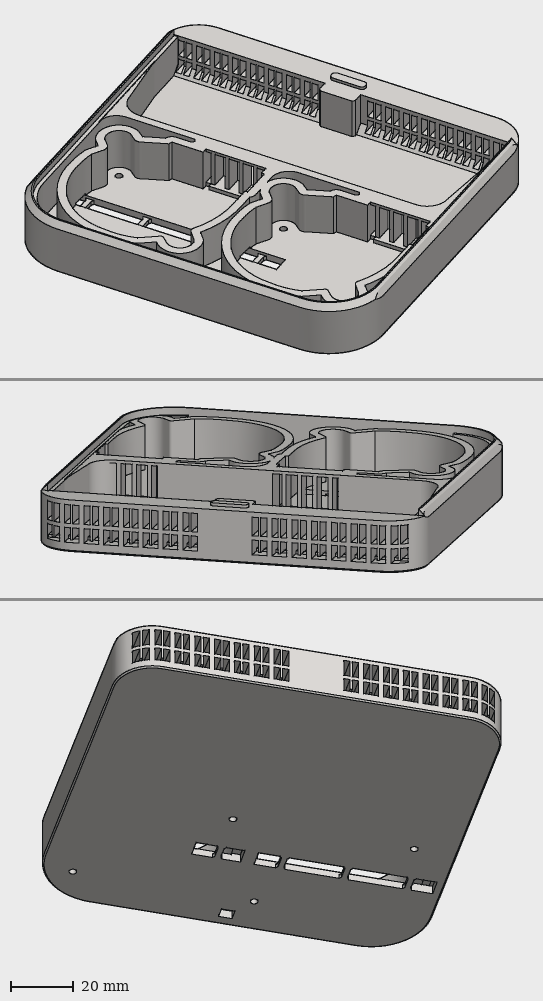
import cadquery as cq
import math

LENGTH = 128.0
DEPTH = 120.0
HEIGHT = 19.2
FRONT_RADIUS = 20.0
BACK_RADIUS = 13.2
BASE_CHAMFER = 0.5

FLOOR_Z = 3.1
DECK_Z = 17.2
GROOVE_Z = 16.8
BAY_FLOOR_Z = 2.5
SILL_Z = 4.0

RIM_WIDTH = 2.5
RIM_SLOPE_WIDTH = 2.0
BEVEL_WIDTH = 1.0
BEVEL_BOTTOM_Z = 16.1
BEVEL_TOP_Z = 18.0

COMPARTMENT_HALF = 60.0
COMPARTMENT_BACK_Y = 50.0
COMPARTMENT_FRONT_Y = 6.4
TAPER_START_Y = 34.5
TAPER_INSET = 2.2
COMPARTMENT_RADIUS = 7.4
RAMP = 2.8

BLOCK_WIDTH = 13.0
BLOCK_FRONT_Y = 45.7
BLOCK_CHAMFER = 0.8
PIN_LENGTH = 12.5
PIN_WIDTH = 3.1
PIN_HEIGHT = 1.0
PIN_Y = 54.0
PIN_CORNER = 1.4

VENT_CELLS = 8
VENT_PITCH = 6.55
VENT_WIDTH = 4.9
VENT_RIB = 0.8
VENT_NEAREST_X = 11.5
VENT_ROWS = [(SILL_Z, 8.0), (9.3, 15.5)]
VENT_RECESS_Y = 55.0

BAY_SCREWS = [(-49.9, -8.0), (10.0, -8.0)]
FAR_SCREW = (43.0, -38.3)
SCREW_DIAMETER = 2.4
LOBE_RADIUS = 4.6
VOLUTE_CENTER = (22.7, -17.9)
VOLUTE_RADIUS = 27.3
VOLUTE_BULGE = 1.0
BAY_WALL = 3.0
OUTLET_LEFT = 27.0
OUTLET_RIGHT = 48.8
OUTLET_TOP = 8.6
RELIEF_RIGHT = 49.8
RELIEF_TOP = 5.6
RELIEF_BOTTOM = -5.4
SHOULDER_TOP = 6.7

GRILLE_BARS = 4
GRILLE_PITCH = 5.1
GRILLE_BAR = 1.4
GRILLE_FIRST_BAR = 29.6
GRILLE_TOP_Z = 16.1
SILL_LEFT = 28.8
SILL_LENGTH = 17.7
SILL_WIDTH = 1.4

HOLLOW_CORNER = 6.4
HOLLOW_SPLIT_Y = -12.2
HOLLOW_END = 21.8
HOLLOW_END_RADIUS = 0.9

SLOT_SPANS = [(-61.2, -2.2), (2.3, 18.4)]
SLOT_BOTTOM = -28.2
SLOT_TOP = -22.3
BRIDGE_XS = [-52.7, -31.9, -10.9, 10.0]
BRIDGE_HEIGHT = 1.5
BRIDGE_WIDTH = 3.1
BRIDGE_WAIST = 1.9
BRIDGE_FLARE = 0.9
WINDOW_X = (-2.2, 2.3)
WINDOW_Y = (-56.3, -52.5)

HALF_X = LENGTH / 2
HALF_Y = DEPTH / 2


def block(x_range, y_range, z_range):
    """Box spanning the three given ranges."""
    size = [high - low for low, high in (x_range, y_range, z_range)]
    corner = (x_range[0], y_range[0], z_range[0])
    return cq.Workplane("XY").box(*size, centered=False).translate(corner)


def on_circle(center, radius, degrees):
    angle = math.radians(degrees)
    return (center[0] + radius * math.cos(angle), center[1] + radius * math.sin(angle))


def make_shell():
    """Rounded block with the sloped rim and the low back deck."""
    shell = cq.Workplane("XY").box(LENGTH, DEPTH, HEIGHT, centered=(True, True, False))
    shell = shell.edges("|Z and <Y").fillet(FRONT_RADIUS)
    shell = shell.edges("|Z and >Y").fillet(BACK_RADIUS)
    shell = shell.faces(">Z").chamfer(HEIGHT - DECK_Z, RIM_SLOPE_WIDTH)
    shell = shell.faces("<Z").chamfer(BASE_CHAMFER)

    back = block((-HALF_X, HALF_X), (COMPARTMENT_BACK_Y, HALF_Y), (DECK_Z, HEIGHT))
    shell = shell.cut(back)

    slope = (BEVEL_TOP_Z - BEVEL_BOTTOM_Z) / BEVEL_WIDTH
    rise = HEIGHT - BEVEL_BOTTOM_Z
    bevel = (
        cq.Workplane("XZ")
        .polyline([(-HALF_X, BEVEL_BOTTOM_Z), (-HALF_X + rise / slope, HEIGHT), (-HALF_X, HEIGHT)])
        .close()
        .extrude(HALF_Y, both=True)
    )
    return shell.cut(bevel).cut(bevel.mirror("YZ"))


def make_compartment():
    """Void of the back compartment, with its ramp and catch block left standing."""
    corner_x = COMPARTMENT_HALF - TAPER_INSET
    flat_half = corner_x - COMPARTMENT_RADIUS
    arc_center_y = COMPARTMENT_FRONT_Y + COMPARTMENT_RADIUS
    right = (flat_half, arc_center_y)
    left = (-flat_half, arc_center_y)
    void = (
        cq.Workplane("XY", origin=(0, 0, FLOOR_Z))
        .moveTo(-COMPARTMENT_HALF, COMPARTMENT_BACK_Y)
        .lineTo(COMPARTMENT_HALF, COMPARTMENT_BACK_Y)
        .lineTo(COMPARTMENT_HALF, TAPER_START_Y)
        .lineTo(corner_x, arc_center_y)
        .threePointArc(on_circle(right, COMPARTMENT_RADIUS, -45), (flat_half, COMPARTMENT_FRONT_Y))
        .lineTo(-flat_half, COMPARTMENT_FRONT_Y)
        .threePointArc(on_circle(left, COMPARTMENT_RADIUS, 225), (-corner_x, arc_center_y))
        .lineTo(-COMPARTMENT_HALF, TAPER_START_Y)
        .close()
        .extrude(HEIGHT - FLOOR_Z)
    )
    ramp = (
        cq.Workplane("YZ")
        .polyline([
            (COMPARTMENT_BACK_Y, FLOOR_Z),
            (COMPARTMENT_BACK_Y - RAMP, FLOOR_Z),
            (COMPARTMENT_BACK_Y, FLOOR_Z + RAMP),
        ])
        .close()
        .extrude(COMPARTMENT_HALF, both=True)
    )
    half_block = BLOCK_WIDTH / 2
    catch = block((-half_block, half_block), (BLOCK_FRONT_Y, COMPARTMENT_BACK_Y), (FLOOR_Z, DECK_Z))
    catch = catch.edges("|Z and <Y").chamfer(BLOCK_CHAMFER)
    return void.cut(ramp).cut(catch)


def make_vents():
    """Voids of the ribbed vent cells through the back wall."""
    slot_width = (VENT_WIDTH - VENT_RIB) / 2
    slot_offset = (slot_width + VENT_RIB) / 2
    vents = cq.Workplane("XY")
    for side in (-1, 1):
        for cell in range(VENT_CELLS):
            x = side * (VENT_NEAREST_X + cell * VENT_PITCH)
            for bottom, top in VENT_ROWS:
                for offset in (-slot_offset, slot_offset):
                    left = x + offset - slot_width / 2
                    slot = block(
                        (left, left + slot_width),
                        (COMPARTMENT_BACK_Y - RAMP, HALF_Y),
                        (bottom, top),
                    )
                    vents = vents.add(slot)
            lip = block(
                (x - VENT_WIDTH / 2, x + VENT_WIDTH / 2),
                (VENT_RECESS_Y, HALF_Y),
                (FLOOR_Z, SILL_Z),
            )
            vents = vents.add(lip)
    inside = block((-COMPARTMENT_HALF, COMPARTMENT_HALF), (0, HALF_Y), (0, HEIGHT))
    return vents.combine().intersect(inside)


def bay_outline():
    """Closed outline of one blower bay about its upper left screw."""
    return (
        cq.Workplane("XY")
        .moveTo(OUTLET_LEFT, OUTLET_TOP)
        .lineTo(OUTLET_RIGHT, OUTLET_TOP)
        .lineTo(OUTLET_RIGHT, RELIEF_TOP)
        .lineTo(RELIEF_RIGHT, RELIEF_TOP)
        .lineTo(RELIEF_RIGHT, RELIEF_BOTTOM)
        .lineTo(OUTLET_RIGHT, RELIEF_BOTTOM)
        .lineTo(OUTLET_RIGHT, -12.8)
        .threePointArc((47.2, -23.7), (43.9, -31.0))
        .threePointArc((43.6, -31.9), (43.9, -32.6))
        .lineTo(*on_circle(FAR_SCREW, LOBE_RADIUS, 22))
        .threePointArc(on_circle(FAR_SCREW, LOBE_RADIUS, -56), on_circle(FAR_SCREW, LOBE_RADIUS, 226))
        .lineTo(37.9, -39.8)
        .threePointArc((37.4, -39.5), (36.5, -39.8))
        .lineTo(*on_circle(VOLUTE_CENTER, VOLUTE_RADIUS, -73))
        .threePointArc(
            on_circle(VOLUTE_CENTER, VOLUTE_RADIUS, 275),
            on_circle(VOLUTE_CENTER, VOLUTE_RADIUS, 263),
        )
        .threePointArc(
            on_circle(VOLUTE_CENTER, VOLUTE_RADIUS + VOLUTE_BULGE, 227),
            on_circle(VOLUTE_CENTER, VOLUTE_RADIUS, 180),
        )
        .threePointArc(
            on_circle(VOLUTE_CENTER, VOLUTE_RADIUS, 173),
            on_circle(VOLUTE_CENTER, VOLUTE_RADIUS, 166),
        )
        .lineTo(-1.4, -7.4)
        .threePointArc((-1.2, -6.3), (-1.4, -5.0))
        .lineTo(*on_circle((0, 0), LOBE_RADIUS, 205))
        .threePointArc(on_circle((0, 0), LOBE_RADIUS, 135), on_circle((0, 0), LOBE_RADIUS, 65))
        .lineTo(4.7, 1.9)
        .threePointArc((5.9, 1.7), (7.2, 2.0))
        .lineTo(15.2, 5.4)
        .lineTo(15.6, SHOULDER_TOP)
        .lineTo(OUTLET_LEFT, SHOULDER_TOP)
        .close()
    )


def make_bay(screw):
    """Void of one bay with its outlet grille, sill and screw holes."""
    bay = bay_outline().extrude(HEIGHT).translate((0, 0, BAY_FLOOR_Z))
    grille_back = COMPARTMENT_FRONT_Y - screw[1]
    grille = block((OUTLET_LEFT, OUTLET_RIGHT), (OUTLET_TOP, grille_back), (SILL_Z, GRILLE_TOP_Z))
    for index in range(GRILLE_BARS):
        x = GRILLE_FIRST_BAR + index * GRILLE_PITCH
        bar = block((x - GRILLE_BAR / 2, x + GRILLE_BAR / 2), (OUTLET_TOP, grille_back), (0, HEIGHT))
        grille = grille.cut(bar)
    sill = block(
        (SILL_LEFT, SILL_LEFT + SILL_LENGTH),
        (OUTLET_TOP - SILL_WIDTH, OUTLET_TOP),
        (BAY_FLOOR_Z, SILL_Z),
    )
    holes = (
        cq.Workplane("XY").pushPoints([(0, 0), FAR_SCREW]).circle(SCREW_DIAMETER / 2).extrude(HEIGHT)
    )
    return bay.cut(sill).union(grille).union(holes).translate((screw[0], screw[1], 0))


def make_interior(bottom):
    """Space inside the walls from the given height up: thinner at the straight front wall."""
    z_range = (bottom, HEIGHT)
    side_wall = HALF_X - COMPARTMENT_HALF
    inner = block(
        (-COMPARTMENT_HALF, COMPARTMENT_HALF), (side_wall - HALF_Y, COMPARTMENT_BACK_Y), z_range
    )
    inner = inner.edges("|Z and <Y").fillet(FRONT_RADIUS - side_wall)
    straight_half = HALF_X - FRONT_RADIUS
    return inner.union(block((-straight_half, straight_half), (RIM_WIDTH - HALF_Y, 0), z_range))


def make_channel():
    """Void of the lid channel with a shallow groove along its sides and rounded corners."""
    half = HALF_X - RIM_WIDTH
    y_range = (RIM_WIDTH - HALF_Y, COMPARTMENT_BACK_Y)
    channel = block((-half, half), y_range, (GROOVE_Z, HEIGHT))
    channel = channel.edges("|Z and <Y").fillet(FRONT_RADIUS - RIM_WIDTH)
    plateau = make_interior(GROOVE_Z).intersect(block((-half, half), y_range, (GROOVE_Z, DECK_Z)))
    return channel.cut(plateau)


def make_hollow():
    """Void around the bays, leaving a wall of even thickness about each of them."""
    z_range = (FLOOR_Z, HEIGHT)
    hollow = block((-HALF_X, HALF_X), (-HALF_Y, HOLLOW_SPLIT_Y), z_range)
    hollow = hollow.intersect(make_interior(FLOOR_Z))

    top_lefts = [-COMPARTMENT_HALF, BAY_SCREWS[0][0] + RELIEF_RIGHT + BAY_WALL]
    for (screw_x, screw_y), left in zip(BAY_SCREWS, top_lefts):
        top_y = screw_y + OUTLET_TOP + BAY_WALL
        upper = block((left, screw_x + HOLLOW_END), (HOLLOW_SPLIT_Y, top_y), z_range)
        hollow = hollow.union(upper.edges("|Z and <X and >Y").fillet(HOLLOW_CORNER))
    for screw_x, screw_y in BAY_SCREWS:
        wall = bay_outline().offset2D(BAY_WALL).extrude(HEIGHT)
        hollow = hollow.cut(wall.translate((screw_x, screw_y, 0)))

    for screw_x, screw_y in BAY_SCREWS:
        end_x = screw_x + HOLLOW_END
        end_zone = cq.selectors.BoxSelector(
            (end_x - HOLLOW_END_RADIUS, screw_y, 0),
            (end_x + HOLLOW_END_RADIUS, COMPARTMENT_FRONT_Y, HEIGHT),
        )
        hollow = hollow.edges("|Z").edges(end_zone).fillet(HOLLOW_END_RADIUS)
    return hollow


def make_floor_slot():
    """Void of the long floor slot, crossed by waisted bridges."""
    slot = cq.Workplane("XY")
    for span in SLOT_SPANS:
        slot = slot.add(block(span, (SLOT_BOTTOM, SLOT_TOP), (0, FLOOR_Z)))
    slot = slot.combine()
    end = BRIDGE_WIDTH / 2
    waist = BRIDGE_WAIST / 2
    low = SLOT_BOTTOM + BRIDGE_FLARE
    high = SLOT_TOP - BRIDGE_FLARE
    right_side = [(end, SLOT_BOTTOM), (waist, low), (waist, high), (end, SLOT_TOP)]
    left_side = [(-x, y) for x, y in reversed(right_side)]
    bridge = cq.Workplane("XY").polyline(right_side + left_side).close().extrude(BRIDGE_HEIGHT)
    for x in BRIDGE_XS:
        slot = slot.cut(bridge.translate((x, 0, 0)))
    return slot


def make_pin():
    """Locating pin on the back deck."""
    pin = cq.Workplane("XY", origin=(0, PIN_Y, DECK_Z)).rect(PIN_LENGTH, PIN_WIDTH).extrude(PIN_HEIGHT)
    return pin.edges("|Z").fillet(PIN_CORNER)


result = make_shell().cut(make_channel())
result = result.cut(make_compartment()).cut(make_vents()).cut(make_hollow())
for bay_screw in BAY_SCREWS:
    result = result.cut(make_bay(bay_screw))
result = result.cut(make_floor_slot())
result = result.cut(block(WINDOW_X, WINDOW_Y, (0, FLOOR_Z)))
result = result.union(make_pin())